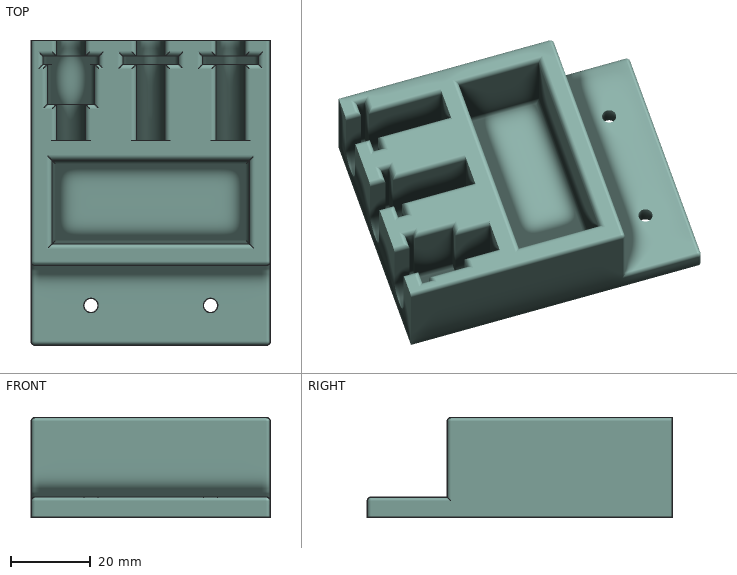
import cadquery as cq

WIDTH = 60.0
LENGTH = 76.5
HEIGHT = 25.0

EDGE_RADIUS = 1.0
RIM_RADIUS = 1.2
FLOOR_RADIUS = 1.0

FLANGE_THICKNESS = 5.05
BLOCK_FRONT = 20.05
SCREW_HOLE_DIAMETER = 3.5
SCREW_HOLE_SPACING = WIDTH / 2
SCREW_HOLE_Y = BLOCK_FRONT / 2

FLOOR_Z = FLANGE_THICKNESS

TRAY_WIDTH = 49.6
TRAY_FRONT_WALL = 5.35
TRAY_FRONT = BLOCK_FRONT + TRAY_FRONT_WALL
TRAY_LENGTH = 21.0

HOLDER_PITCH = WIDTH / 3
HOLDER_XS = [-HOLDER_PITCH, 0, HOLDER_PITCH]
CHANNEL_WIDTH = 7.3
CHANNEL_FRONT = 51.3
CROSS_SLOT_WIDTH = 14.0
CROSS_SLOT_LENGTH = 2.1
CROSS_SLOT_BACK_WALL = 4.0
CROSS_SLOT_BACK = LENGTH - CROSS_SLOT_BACK_WALL
CROSS_SLOT_FRONT = CROSS_SLOT_BACK - CROSS_SLOT_LENGTH

RECESS_X = HOLDER_XS[0]
RECESS_WIDTH = 11.85
RECESS_FRONT = 60.4


def box_between(width, y_front, y_back, z_bottom, z_top, x_center=0.0):
    """Box centred on x_center and spanning the given Y and Z ranges."""
    return (
        cq.Workplane("XY", origin=(x_center, (y_front + y_back) / 2, z_bottom))
        .rect(width, y_back - y_front)
        .extrude(z_top - z_bottom)
    )


def rounded_step(y_front, height):
    """Body step with its front corners and its top edges rounded, but not at the back."""
    step = box_between(WIDTH, y_front, LENGTH, 0, height)
    front_corners = step.edges("|Z and <Y")
    top_edges = step.faces(">Z").edges("not >Y")
    return step.newObject(front_corners.vals() + top_edges.vals()).fillet(EDGE_RADIUS)


def tray():
    """Tray cavity with a rounded floor edge."""
    cavity = box_between(TRAY_WIDTH, TRAY_FRONT, TRAY_FRONT + TRAY_LENGTH, FLOOR_Z, HEIGHT)
    return cavity.faces("<Z").edges().fillet(FLOOR_RADIUS)


def channel(x_center):
    """Channel with a half-round bottom, running out through the back."""
    radius = CHANNEL_WIDTH / 2
    cavity = box_between(CHANNEL_WIDTH, CHANNEL_FRONT, LENGTH, FLOOR_Z + radius, HEIGHT, x_center)
    half_round = (
        cq.Workplane("XZ", origin=(x_center, LENGTH, FLOOR_Z + radius))
        .circle(radius)
        .extrude(LENGTH - CHANNEL_FRONT)
    )
    return cavity.union(half_round)


def round_floor_slot(x_center, width, y_front, y_back):
    """Cross slot whose floor is rounded along both sides."""
    cavity = box_between(width, y_front, y_back, FLOOR_Z, HEIGHT, x_center)
    return cavity.faces("<Z").edges("|Y").fillet(FLOOR_RADIUS)


def is_rounded_rim(edge):
    """True for the opening edges on the top face, except the front ends of the channels."""
    center = edge.Center()
    on_outline = (
        abs(center.x) > WIDTH / 2 - 2 * EDGE_RADIUS
        or center.y < BLOCK_FRONT + 2 * EDGE_RADIUS
        or center.y > LENGTH - EDGE_RADIUS
    )
    at_channel_front = abs(center.y - CHANNEL_FRONT) < EDGE_RADIUS
    return not on_outline and not at_channel_front


body = rounded_step(0, FLANGE_THICKNESS).union(rounded_step(BLOCK_FRONT, HEIGHT))

body = body.cut(tray())
for holder_x in HOLDER_XS:
    body = body.cut(channel(holder_x))
    body = body.cut(round_floor_slot(holder_x, CROSS_SLOT_WIDTH, CROSS_SLOT_FRONT, CROSS_SLOT_BACK))
body = body.cut(round_floor_slot(RECESS_X, RECESS_WIDTH, RECESS_FRONT, CROSS_SLOT_BACK))

rim_edges = [edge for edge in body.faces(">Z").edges().vals() if is_rounded_rim(edge)]
body = body.newObject(rim_edges).fillet(RIM_RADIUS)

screw_holes = (
    cq.Workplane("XY", origin=(0, SCREW_HOLE_Y, 0))
    .rarray(SCREW_HOLE_SPACING, 0.8, 2, 1)
    .circle(SCREW_HOLE_DIAMETER / 2)
    .extrude(FLANGE_THICKNESS)
)
result = body.cut(screw_holes)